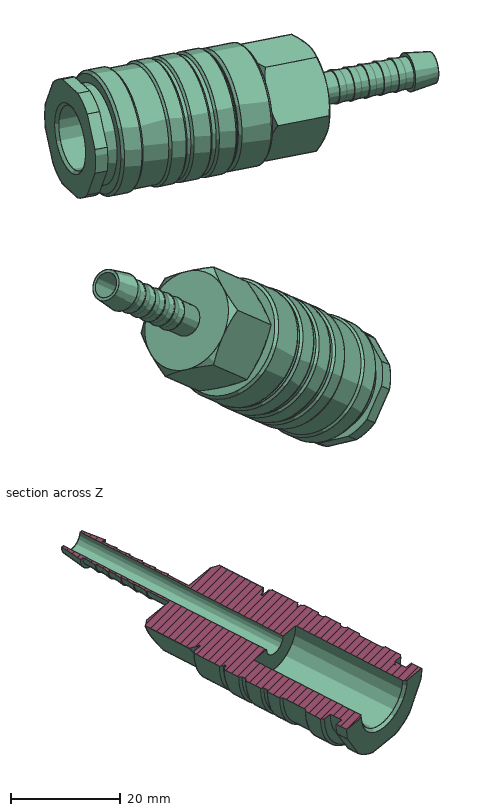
import cadquery as cq
import math

total_length = 73.0

collar_length = 2.5
collar_radius = 11.1
collar_across_flats = 21.2
neck_radius = 9.55

sleeve_start = 5.05
band_radius = 11.75
rear_band_radius = 11.5
recess_radius = 11.3
rear_groove_radius = 10.65
band_chamfer = 0.5
bands = [
    (sleeve_start, 9.55, band_radius),
    (14.6, 18.5, band_radius),
    (19.05, 23.5, band_radius),
    (24.15, 28.55, band_radius),
    (28.8, 35.8, rear_band_radius),
]
last_groove_front = bands[3][1]
sleeve_end = bands[-1][1]

hex_start = 36.0
hex_end = 48.0
hex_across_flats = 19.0
hex_chamfer_angle = 30.0
hex_neck_radius = 9.1

stem_radius = 3.0
barb_length = 5.0
barb_radius = 3.65
ring_count = 5
ring_pitch = 3.0
ring_length = 1.45
ring_radius = 3.2
first_ring_inset = 8.0

socket_radius = 6.1
socket_depth = 25.55
socket_chamfer = 0.6
bore_radius = 2.4


def cone(start, end, start_radius, end_radius):
    """Solid of revolution about Y whose radius varies linearly."""
    profile = [(0, start), (start_radius, start), (end_radius, end), (0, end)]
    return cq.Workplane("XY").polyline(profile).close().revolve(360, (0, 0), (0, 1))


def cylinder(start, end, radius):
    return cone(start, end, radius, radius)


def hexagon(start, end, across_flats):
    """Hexagonal prism along Y with corners on the X axis."""
    corner_diameter = across_flats / math.cos(math.pi / 6)
    plane = cq.Workplane("XZ", origin=(0, start, 0))
    return plane.polygon(6, corner_diameter).extrude(start - end)


def make_collar():
    disc = cylinder(0, collar_length, collar_radius)
    return disc.intersect(hexagon(0, collar_length, collar_across_flats))


def make_sleeve():
    core = cylinder(sleeve_start + band_chamfer, last_groove_front, recess_radius)
    core = core.union(cylinder(last_groove_front, sleeve_end, rear_groove_radius))
    for front, rear, radius in bands:
        core = core.union(cylinder(front, rear, radius).edges("%CIRCLE").chamfer(band_chamfer))
    return core


def make_hex_body():
    """Hexagon with its corners turned down to a cone at both ends."""
    face_radius = hex_across_flats / 2
    reach = hex_end - hex_start
    spread = reach / 2 / math.tan(math.radians(hex_chamfer_angle))
    middle = hex_start + reach / 2
    corner_cones = cone(hex_start, middle, face_radius, face_radius + spread)
    corner_cones = corner_cones.union(cone(middle, hex_end, face_radius + spread, face_radius))
    return hexagon(hex_start, hex_end, hex_across_flats).intersect(corner_cones)


def make_stem():
    stem = cylinder(hex_end, total_length - barb_length, stem_radius)
    stem = stem.union(cone(total_length - barb_length, total_length, barb_radius, stem_radius))
    for index in range(ring_count):
        step = total_length - first_ring_inset - index * ring_pitch
        stem = stem.union(cone(step, step + ring_length, ring_radius, stem_radius))
    return stem


def make_cavity():
    socket = cylinder(0, socket_depth, socket_radius)
    mouth = cone(0, socket_chamfer, socket_radius + socket_chamfer, socket_radius)
    return socket.union(mouth).union(cylinder(0, total_length, bore_radius))


body = make_collar()
body = body.union(cylinder(collar_length, sleeve_start, neck_radius))
body = body.union(make_sleeve())
body = body.union(cylinder(sleeve_end, hex_start, hex_neck_radius))
body = body.union(make_hex_body())
body = body.union(make_stem())
result = body.cut(make_cavity())